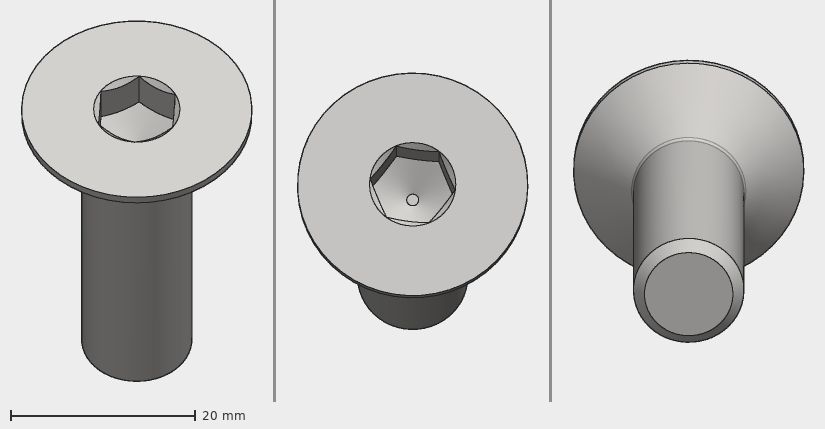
import cadquery as cq
import math

overall_length = 40.0
shank_diameter = 12.0
tip_chamfer = 1.2

head_diameter = 25.0
rim_height = 0.95
head_half_angle = 45.0
neck_fillet_radius = 0.7

socket_sides = 6
socket_across_flats = 8.06
socket_corner_depth = 4.3
socket_mouth_diameter = 9.36
mouth_half_angle = 48.0
floor_cone_slope = 30.0
floor_flat_diameter = 1.3

shank_radius = shank_diameter / 2
head_radius = head_diameter / 2
cone_height = (head_radius - shank_radius) / math.tan(math.radians(head_half_angle))
neck_z = -(rim_height + cone_height)


def make_body():
    """Head, neck fillet, shank and chamfered tip, turned about Z."""
    turned = (
        cq.Workplane("XZ")
        .moveTo(0, 0)
        .lineTo(head_radius, 0)
        .lineTo(head_radius, -rim_height)
        .lineTo(shank_radius, neck_z)
        .lineTo(shank_radius, -overall_length + tip_chamfer)
        .lineTo(shank_radius - tip_chamfer, -overall_length)
        .lineTo(0, -overall_length)
        .close()
        .revolve(360, (0, 0, 0), (0, 1, 0))
    )
    neck_edge = cq.selectors.BoxSelector(
        (-head_radius, -head_radius, neck_z - rim_height / 2),
        (head_radius, head_radius, neck_z + rim_height / 2),
    )
    return turned.edges(neck_edge).fillet(neck_fillet_radius)


def make_socket():
    """Hexagonal recess with a conical floor and a chamfered round mouth."""
    corner_radius = socket_across_flats / 2 / math.cos(math.pi / socket_sides)
    floor_flat_radius = floor_flat_diameter / 2
    cone_depth = (corner_radius - floor_flat_radius) * math.tan(math.radians(floor_cone_slope))
    total_depth = socket_corner_depth + cone_depth

    hexagon = cq.Workplane("XY").polygon(socket_sides, 2 * corner_radius).extrude(-total_depth)
    drilled_outline = (
        cq.Workplane("XZ")
        .moveTo(0, 0)
        .lineTo(corner_radius, 0)
        .lineTo(corner_radius, -socket_corner_depth)
        .lineTo(floor_flat_radius, -total_depth)
        .lineTo(0, -total_depth)
        .close()
        .revolve(360, (0, 0, 0), (0, 1, 0))
    )

    mouth_radius = socket_mouth_diameter / 2
    mouth_depth = mouth_radius / math.tan(math.radians(mouth_half_angle))
    mouth = (
        cq.Workplane("XZ")
        .moveTo(0, 0)
        .lineTo(mouth_radius, 0)
        .lineTo(0, -mouth_depth)
        .close()
        .revolve(360, (0, 0, 0), (0, 1, 0))
    )
    return hexagon.intersect(drilled_outline).union(mouth)


result = make_body().cut(make_socket())